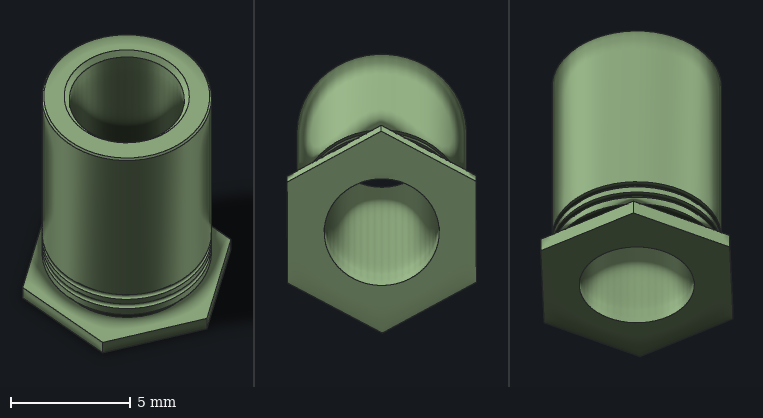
import cadquery as cq
import math

total_height = 11.11
hex_across_flats = 7.92
hex_across_corners = hex_across_flats / math.cos(math.pi / 6)
hex_thickness = 0.65

barrel_diameter = 7.11
neck_diameter = 6.1
neck_top = 1.4
groove_diameter = 6.6
groove_width = 0.29
groove_bottoms = (1.77, 2.34)
barrel_chamfer = 0.08

bore_diameter = 4.82
bore_mouth_diameter = 5.24
bore_chamfer = (bore_mouth_diameter - bore_diameter) / 2


def cylinder(diameter, bottom, top):
    """Solid cylinder on the Z axis between two heights."""
    return cq.Workplane("XY").workplane(offset=bottom).circle(diameter / 2).extrude(top - bottom)


def ring_groove(bottom):
    """Ring of material removed around the barrel."""
    top = bottom + groove_width
    return cylinder(barrel_diameter, bottom, top).cut(cylinder(groove_diameter, bottom, top))


flange = cq.Workplane("XY").polygon(6, hex_across_corners).extrude(hex_thickness)

neck = cylinder(neck_diameter, hex_thickness, neck_top)

barrel = cylinder(barrel_diameter, neck_top, total_height).faces(">Z").edges().chamfer(barrel_chamfer)
for groove_bottom in groove_bottoms:
    barrel = barrel.cut(ring_groove(groove_bottom))

body = flange.union(neck).union(barrel)
body = body.cut(cylinder(bore_diameter, 0, total_height))
result = body.faces(">Z").edges("%CIRCLE").edges(cq.selectors.RadiusNthSelector(0)).chamfer(bore_chamfer)